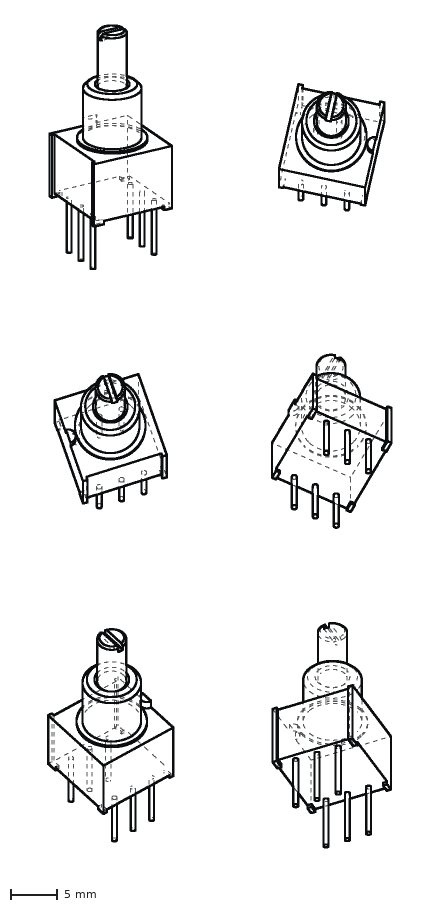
import cadquery as cq

shaft_top = 12.87
bushing_top = 6.53
washer_height = 0.24
key_height = 0.97
housing_height = 6.97
foot_depth = 0.4
pin_tip = -13.35

housing_width = 9.55
housing_length = 9.38
plate_thickness = 0.5
plate_overhang = 0.37
foot_gap_back = 3.72
foot_gap_front = -3.8

shaft_diameter = 3.17
shaft_chamfer = 0.25
bushing_diameter = 6.35
bushing_chamfer = 0.47
washer_diameter = 7.63
rim_diameter = 3.75
countersink_half_angle = 45

slot_width = 0.6
slot_depth = 0.75
key_radius = 0.79
pin_diameter = 0.55
pin_pitch = 2.55
pin_rows = (-3.9, 3.75)
pin_embed = 0.25

half_width = housing_width / 2
half_length = housing_length / 2


def side_plate(x_start):
    """Side plate that runs past the front face and ends in two feet."""
    front = -half_length - plate_overhang
    foot_bottom = -housing_height - foot_depth
    outline = [
        (front, 0),
        (half_length, 0),
        (half_length, foot_bottom),
        (foot_gap_back, foot_bottom),
        (foot_gap_back, -housing_height),
        (foot_gap_front, -housing_height),
        (foot_gap_front, foot_bottom),
        (front, foot_bottom),
    ]
    plate = cq.Workplane("YZ").polyline(outline).close().extrude(plate_thickness)
    return plate.translate((x_start, 0, 0))


def housing():
    """Rectangular block with a plate along each X side."""
    block = cq.Workplane("XY").rect(housing_width, housing_length).extrude(-housing_height)
    for x_start in (-half_width, half_width - plate_thickness):
        block = block.union(side_plate(x_start))
    return block


def locating_key():
    """Half-round key standing on the housing, flush with its -X side."""
    return (
        cq.Workplane("XY")
        .moveTo(-half_width, -key_radius)
        .threePointArc((-half_width + key_radius, 0), (-half_width, key_radius))
        .close()
        .extrude(key_height)
    )


def bushing():
    """Washer and chamfered bushing with a countersunk rim around the shaft."""
    washer = cq.Workplane("XY").circle(washer_diameter / 2).extrude(washer_height)
    sleeve = (
        cq.Workplane("XY")
        .circle(bushing_diameter / 2)
        .extrude(bushing_top)
        .faces(">Z")
        .chamfer(bushing_chamfer)
    )
    rim_depth = (rim_diameter - shaft_diameter) / 2
    countersink = (
        cq.Workplane("XY", origin=(0, 0, bushing_top))
        .circle(rim_diameter / 2)
        .extrude(-rim_depth, taper=countersink_half_angle)
    )
    return washer.union(sleeve).cut(countersink)


def shaft():
    """Chamfered shaft with a screwdriver slot along Y."""
    rod = (
        cq.Workplane("XY")
        .circle(shaft_diameter / 2)
        .extrude(shaft_top)
        .faces(">Z")
        .chamfer(shaft_chamfer)
    )
    slot = (
        cq.Workplane("XY", origin=(0, 0, shaft_top))
        .rect(slot_width, shaft_diameter)
        .extrude(-slot_depth)
    )
    return rod.cut(slot)


def pins():
    """Two rows of three round pins below the housing."""
    centres = [(column * pin_pitch, y) for y in pin_rows for column in (-1, 0, 1)]
    pin_top = -housing_height + pin_embed
    return (
        cq.Workplane("XY", origin=(0, 0, pin_tip))
        .pushPoints(centres)
        .circle(pin_diameter / 2)
        .extrude(pin_top - pin_tip)
    )


result = housing().union(locating_key()).union(bushing()).union(shaft()).union(pins())